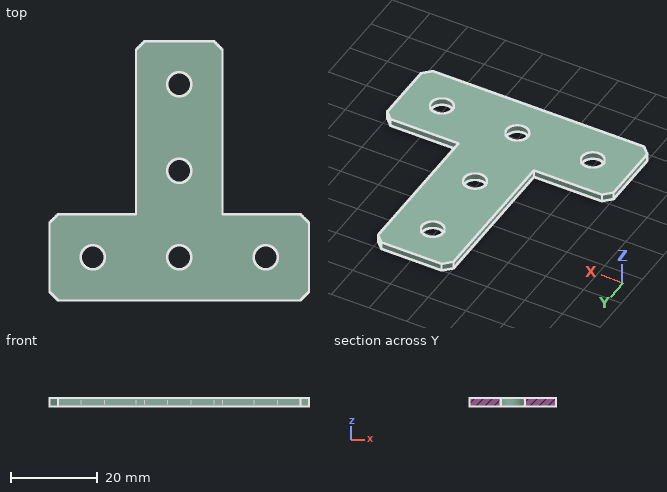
import cadquery as cq

span = 60.0
pitch = span / 3
thickness = pitch / 10
chamfer = pitch / 10
hole_diameter = 5.5


def arm(size_x, size_y):
    """Flat bar with chamfered corners, its front edge on Y = 0 and centred on X."""
    bar = cq.Workplane("XY").box(size_x, size_y, thickness, centered=(True, False, False))
    return bar.edges("|Z").chamfer(chamfer)


stem_start = pitch / 2
crossbar = arm(span, pitch)
stem = arm(pitch, span - stem_start).translate((0, stem_start, 0))
plate = crossbar.union(stem)

crossbar_holes = [(column * pitch, pitch / 2) for column in (-1, 0, 1)]
stem_holes = [(0, pitch / 2 + row * pitch) for row in (1, 2)]
hole_cutters = (
    cq.Workplane("XY")
    .pushPoints(crossbar_holes + stem_holes)
    .circle(hole_diameter / 2)
    .extrude(thickness)
)

result = plate.cut(hole_cutters)